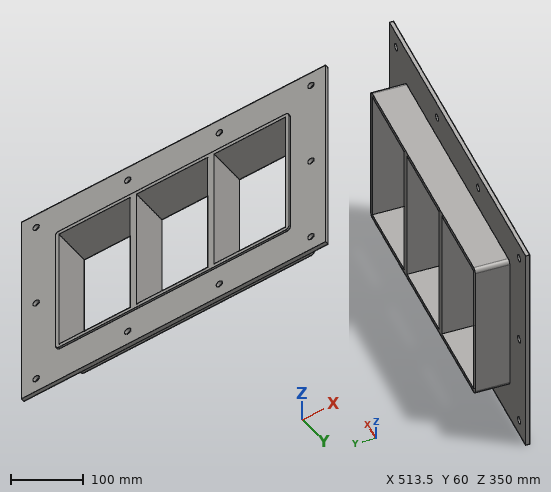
import cadquery as cq

plate_length = 513.5
plate_height = 350.0
plate_thickness = 6.0

sleeve_depth = 60.0
front_lip = 3.0
wall = 6.0
corner_radius = 6.0

opening_count = 3
opening_width = 120.0
opening_height = 217.5
rib = 11.0

hole_diameter = 10.5
hole_pitch_x = 154.5
hole_pitch_z = 150.0
hole_columns = 4
hole_rows = 3

opening_pitch = opening_width + rib
sleeve_length = opening_count * opening_width + (opening_count - 1) * rib + 2 * wall
sleeve_height = opening_height + 2 * wall


def block(length, depth, height, front_y):
    """Box centred in X and Z, running back along +Y from front_y."""
    return cq.Workplane("XY").box(length, depth, height).translate((0, front_y + depth / 2, 0))


def hole_positions():
    """Grid positions lying on the border of the hole pattern."""
    positions = []
    for column in range(hole_columns):
        for row in range(hole_rows):
            on_border = column in (0, hole_columns - 1) or row in (0, hole_rows - 1)
            if on_border:
                x = (column - (hole_columns - 1) / 2) * hole_pitch_x
                z = (row - (hole_rows - 1) / 2) * hole_pitch_z
                positions.append((x, z))
    return positions


plate = (
    block(plate_length, plate_thickness, plate_height, 0)
    .faces("<Y")
    .workplane(origin=(0, 0, 0))
    .pushPoints(hole_positions())
    .hole(hole_diameter)
)

sleeve = block(sleeve_length, sleeve_depth, sleeve_height, -front_lip).edges("|Y").fillet(corner_radius)

result = plate.union(sleeve)

for index in range(opening_count):
    opening_x = (index - (opening_count - 1) / 2) * opening_pitch
    opening = block(opening_width, sleeve_depth, opening_height, -front_lip)
    result = result.cut(opening.translate((opening_x, 0, 0)))